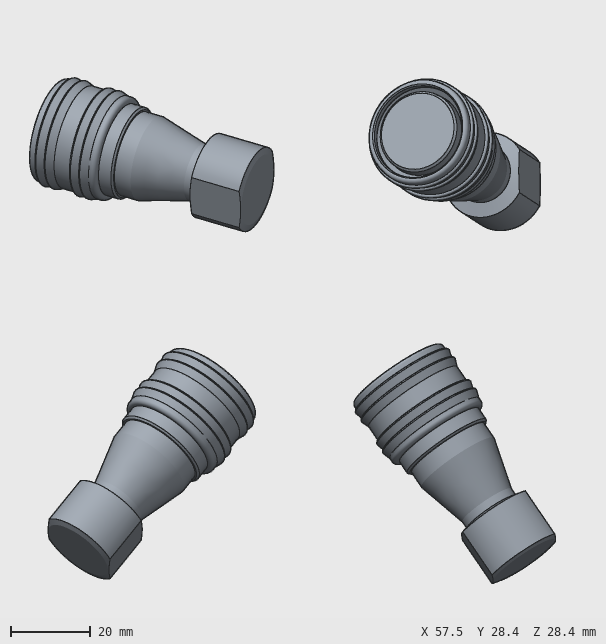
import cadquery as cq
import math


total_length = 57.5

sleeve_length = 18.9
sleeve_radius = 27.0 / 2
crest_radius = 28.4 / 2
waist_radius = 26.85 / 2
groove_radius = 27.15 / 2
lip_radius = 23.8 / 2
lip_chamfer_radius = 24.5 / 2
lip_chamfer = lip_chamfer_radius - lip_radius
front_fillet = 0.9
rear_fillet = 1.05
ridge_round = 0.45
ridge_pitch = 2.6
ridge_starts = [2.0, 11.7]
ridge_slope_length = ridge_pitch - ridge_round

tube_front = 2.05
tube_radius = 24.0 / 2
tube_end = 22.9
tube_chamfer = 0.5
tube_bore_radius = 21.15 / 2
mouth_depth = lip_radius - tube_bore_radius

nose_front = 0.05
nose_radius = 20.9 / 2
nose_face_radius = 19.7 / 2
nose_chamfer_length = 0.6
shoulder_radius = 22.0 / 2
taper_start = 27.5
taper_end = 40.6
neck_radius = 14.9 / 2
wrench_start = 42.65
wrench_radius = shoulder_radius
wrench_front_cone_length = 1.05
wrench_rear_cone_length = 0.5
across_flats = 18.9
cone_slope = (wrench_radius - neck_radius) / wrench_front_cone_length
wrench_end_radius = wrench_radius - wrench_rear_cone_length * cone_slope


def turn(profile):
    """Revolve a closed profile, drawn as (x, radius), about the X axis."""
    return profile.close().revolve(360, (0, 0, 0), (1, 0, 0))


def add_ridge(profile, start, foot_radius):
    """Rounded step up to the crest, then a straight slope down to foot_radius."""
    arc_offset = ridge_round * math.sqrt(0.5)
    arc_centre_x = start + ridge_round
    arc_centre_radius = crest_radius - ridge_round
    return (
        profile
        .lineTo(start, arc_centre_radius)
        .threePointArc(
            (arc_centre_x - arc_offset, arc_centre_radius + arc_offset),
            (arc_centre_x, crest_radius),
        )
        .lineTo(arc_centre_x + ridge_slope_length, foot_radius)
    )


def add_ridge_pair(profile, start, final_radius):
    profile = add_ridge(profile, start, groove_radius)
    return add_ridge(profile, start + ridge_pitch, final_radius)


def make_sleeve():
    profile = (
        cq.Workplane("XZ")
        .moveTo(lip_chamfer, lip_radius)
        .lineTo(0, lip_chamfer_radius)
        .lineTo(0, sleeve_radius - front_fillet)
        .radiusArc((front_fillet, sleeve_radius), front_fillet)
        .lineTo(ridge_starts[0], sleeve_radius)
    )
    profile = add_ridge_pair(profile, ridge_starts[0], waist_radius)
    profile = profile.lineTo(ridge_starts[1], waist_radius)
    profile = add_ridge_pair(profile, ridge_starts[1], sleeve_radius)
    profile = (
        profile
        .lineTo(sleeve_length - rear_fillet, sleeve_radius)
        .radiusArc((sleeve_length, sleeve_radius - rear_fillet), rear_fillet)
        .lineTo(sleeve_length, tube_radius)
        .lineTo(tube_front, tube_radius)
        .lineTo(tube_front, lip_radius)
    )
    return turn(profile)


def make_tube():
    profile = (
        cq.Workplane("XZ")
        .moveTo(tube_front, lip_radius)
        .lineTo(tube_front, tube_radius)
        .lineTo(tube_end - tube_chamfer, tube_radius)
        .lineTo(tube_end, tube_radius - tube_chamfer)
        .lineTo(tube_end, tube_bore_radius)
        .lineTo(tube_front + mouth_depth, tube_bore_radius)
    )
    return turn(profile)


def make_core():
    turned = turn(
        cq.Workplane("XZ")
        .moveTo(nose_front, 0)
        .lineTo(nose_front, nose_face_radius)
        .lineTo(nose_front + nose_chamfer_length, nose_radius)
        .lineTo(tube_end, nose_radius)
        .lineTo(tube_end, shoulder_radius)
        .lineTo(taper_start, shoulder_radius)
        .lineTo(taper_end, neck_radius)
        .lineTo(wrench_start, neck_radius)
        .lineTo(wrench_start + wrench_front_cone_length, wrench_radius)
        .lineTo(total_length - wrench_rear_cone_length, wrench_radius)
        .lineTo(total_length, wrench_end_radius)
        .lineTo(total_length, 0)
    )
    return cut_wrench_flats(turned)


def cut_wrench_flats(turned):
    """Cut the two parallel flats on the +Y and -Y sides of the wrench end."""
    flat_depth = wrench_radius - across_flats / 2
    flat_centre = across_flats / 2 + flat_depth / 2
    wrench_length = total_length - wrench_start
    for side in (-1, 1):
        waste = cq.Workplane("XY").box(wrench_length, flat_depth, 2 * wrench_radius)
        turned = turned.cut(
            waste.translate((wrench_start + wrench_length / 2, side * flat_centre, 0))
        )
    return turned


sleeve = make_sleeve()
tube = make_tube()
core = make_core()

result = cq.Compound.makeCompound([sleeve.val(), tube.val(), core.val()])